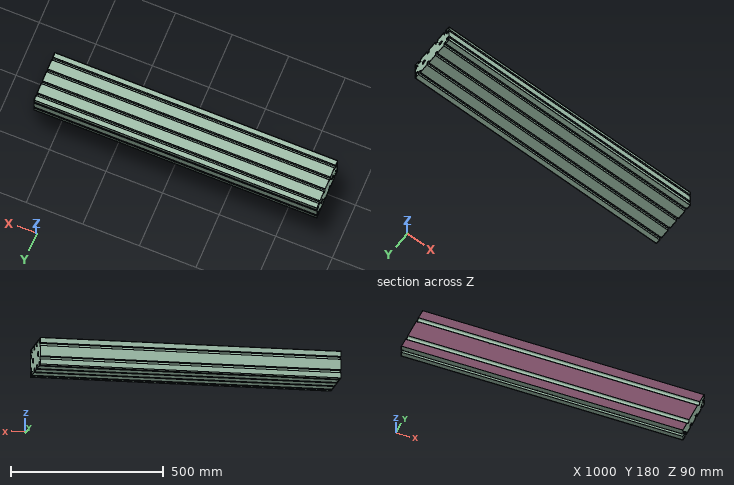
import cadquery as cq

length = 1000.0
module = 90.0
width = 2 * module
height = module

slot_width = 10.0
slot_depth = 13.0
slot_pitch = module / 2

bore_diameter = 15.0


def slot_positions(face_width):
    """Centres of the evenly pitched slots across a face."""
    count = round(face_width / slot_pitch)
    return [(i - (count - 1) / 2) * slot_pitch for i in range(count)]


def slot_pair(size_y, size_z, offset_y, offset_z):
    """Two full-length slot cutters on opposite faces, mirrored about the bar axis."""
    cutter = cq.Workplane("XY").box(length, size_y, size_z)
    first = cutter.translate((0, offset_y, offset_z))
    second = cutter.translate((0, -offset_y, -offset_z))
    return first.add(second).combine()


result = cq.Workplane("XY").box(length, width, height)

for y in slot_positions(width):
    result = result.cut(slot_pair(slot_width, slot_depth, y, (height - slot_depth) / 2))

for z in slot_positions(height):
    result = result.cut(slot_pair(slot_depth, slot_width, (width - slot_depth) / 2, z))

bores = (
    cq.Workplane("YZ", origin=(-length / 2, 0, 0))
    .pushPoints([(-module / 2, 0), (module / 2, 0)])
    .circle(bore_diameter / 2)
    .extrude(length)
)
result = result.cut(bores)